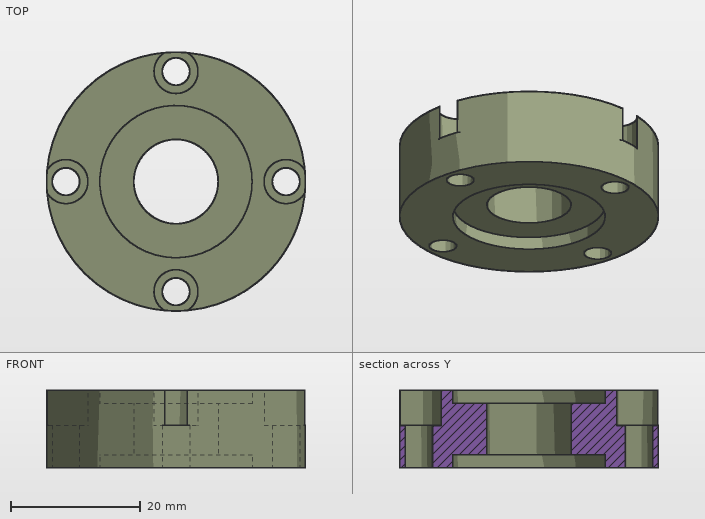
import cadquery as cq

body_diameter = 40.0
body_height = 12.0

bore_diameter = 13.0
recess_diameter = 23.5
recess_depth = 2.0

screw_count = 4
screw_circle_radius = 17.0
screw_diameter = 4.2
counterbore_diameter = 6.8
counterbore_depth = 5.45


def make_body():
    """Disc standing on the XY plane, centred on the Z axis."""
    return cq.Workplane("XY").circle(body_diameter / 2).extrude(body_height)


def cut_central_bore(body):
    """Cut the through bore and a matching shallow recess in each end face."""
    bore = cq.Workplane("XY").circle(bore_diameter / 2).extrude(body_height)
    bottom_recess = cq.Workplane("XY").circle(recess_diameter / 2).extrude(recess_depth)
    top_recess = bottom_recess.translate((0, 0, body_height - recess_depth))
    return body.cut(bore).cut(bottom_recess).cut(top_recess)


def cut_screw_holes(body):
    """Cut the evenly spaced counterbored holes, starting on the X axis."""
    top_plane = cq.Workplane("XY", origin=(0, 0, body_height))
    hole_centers = top_plane.polarArray(screw_circle_radius, 0, 360, screw_count)
    through_holes = hole_centers.circle(screw_diameter / 2).extrude(-body_height)
    counterbores = hole_centers.circle(counterbore_diameter / 2).extrude(-counterbore_depth)
    return body.cut(through_holes).cut(counterbores)


result = cut_screw_holes(cut_central_bore(make_body()))